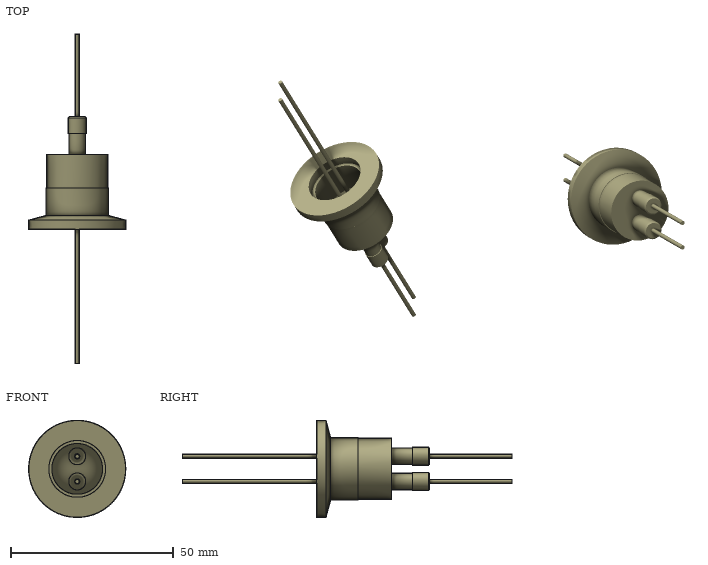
import cadquery as cq
import math


flange_diameter = 29.97
flange_rim_thickness = 2.85
flange_back_angle = 15.0
sleeve_diameter = 19.3
sleeve_end = 12.7
mouth_diameter = 17.5
mouth_depth = flange_rim_thickness
bore_diameter = 15.65

insulator_diameter = 18.9
insulator_end = 23.1
bore_depth = sleeve_end

pin_spacing = 7.75
pin_diameter = 1.3
pin_length = 101.6
pin_front = -41.4
stem_diameter = 5.2
stem_protrusion = 0.5
clearance_diameter = 1.6
cap_diameter = 5.6
cap_start = 29.5
cap_end = 34.8
cap_chamfer = 0.4


def cylinder(diameter, start, end, z=0.0):
    """Solid cylinder along +Y from start to end, with its axis at height z."""
    axis_start = cq.Vector(0, start, z)
    along_y = cq.Vector(0, 1, 0)
    return cq.Workplane(obj=cq.Solid.makeCylinder(diameter / 2, end - start, axis_start, along_y))


def make_flange():
    """Flange rim with a conical back that runs down to the weld sleeve."""
    rim_radius = flange_diameter / 2
    sleeve_radius = sleeve_diameter / 2
    cone_height = (rim_radius - sleeve_radius) * math.tan(math.radians(flange_back_angle))
    profile = (
        cq.Workplane("XY")
        .lineTo(rim_radius, 0)
        .lineTo(rim_radius, flange_rim_thickness)
        .lineTo(sleeve_radius, flange_rim_thickness + cone_height)
        .lineTo(0, flange_rim_thickness + cone_height)
        .close()
    )
    return profile.revolve(360, (0, 0, 0), (0, 1, 0))


def make_body():
    """Flange, sleeve and insulator with the stepped blind bore."""
    body = make_flange()
    body = body.union(cylinder(sleeve_diameter, 0, sleeve_end))
    body = body.union(cylinder(insulator_diameter, sleeve_end, insulator_end))
    body = body.cut(cylinder(mouth_diameter, 0, mouth_depth))
    return body.cut(cylinder(bore_diameter, mouth_depth, bore_depth))


def add_conductor(body, z):
    """Fit a stem with its chamfered cap at height z, clear it around the pin and add the pin."""
    stem_front = bore_depth - stem_protrusion
    stem = cylinder(stem_diameter, stem_front, cap_start, z)
    cap = cylinder(cap_diameter, cap_start, cap_end, z).faces(">Y").chamfer(cap_chamfer)
    clearance = cylinder(clearance_diameter, stem_front, cap_start, z)
    pin = cylinder(pin_diameter, pin_front, pin_front + pin_length, z)
    return body.union(stem).union(cap).cut(clearance).union(pin)


result = make_body()
for side in (-1, 1):
    result = add_conductor(result, side * pin_spacing / 2)